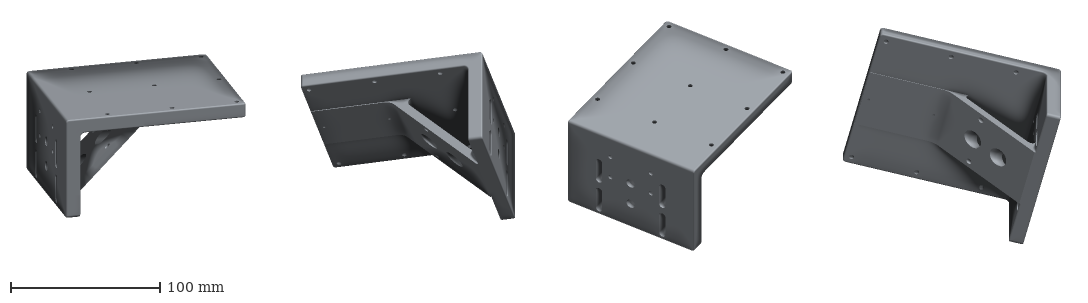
import cadquery as cq
import math

WIDTH = 100.0
DEPTH = 125.0
HEIGHT = 70.0
THICKNESS = 10.0

CORNER_RADIUS = 2.0
OUTER_BEND_RADIUS = 2.0
INNER_BEND_RADIUS = 3.5
EDGE_RADIUS = 1.0

BRACE_WIDTH = 40.0
BRACE_THICKNESS = 6.0
BRACE_ROOT_RADIUS = 10.0
BRACE_POCKET_RADIUS = 3.0
PAD_THICKNESS = 0.5
PAD_BACK_MARGIN = 0.5

SMALL_HOLE_DIAMETER = 3.2
SHELF_HOLE_PITCH = 45.0
SHELF_HOLE_BACK_MARGIN = 5.0
DRILL_POINT_ANGLE = 118.0

SMALL_HOLE_OFFSET = 16.0
SMALL_HOLE_DROP = 16.5
WALL_HOLE_PITCH = 17.5
LARGE_HOLE_DIAMETER = 6.6
LARGE_HOLE_DROP = 32.5
COUNTERBORE_DIAMETER = 11.0
COUNTERBORE_FLOOR = 3.0
SLOT_OFFSET = 25.0
SLOT_DROP = LARGE_HOLE_DROP
SLOT_PITCH = 25.0
SLOT_LENGTH = 20.0
SLOT_WIDTH = 5.0

SHELF_UNDERSIDE = -THICKNESS


def extruded_profile(points, width):
    """Outline of (Y, Z) points, extruded symmetrically along X."""
    return cq.Workplane("YZ").polyline(points).close().extrude(width / 2, both=True)


def nearest_to(y, z):
    """Selector for the edge whose middle is closest to (Y, Z) on the symmetry plane."""
    return cq.selectors.NearestToPointSelector((0, y, z))


def angle_plate():
    plate = extruded_profile(
        [
            (0, 0),
            (DEPTH, 0),
            (DEPTH, SHELF_UNDERSIDE),
            (THICKNESS, SHELF_UNDERSIDE),
            (THICKNESS, -HEIGHT),
            (0, -HEIGHT),
        ],
        WIDTH,
    )
    plate = plate.faces(">Y").edges("|Z").fillet(CORNER_RADIUS)
    plate = plate.faces("<Z").edges("|Y").fillet(CORNER_RADIUS)
    plate = plate.edges(nearest_to(0, 0)).fillet(OUTER_BEND_RADIUS)
    plate = plate.edges(nearest_to(THICKNESS, SHELF_UNDERSIDE)).fillet(INNER_BEND_RADIUS)

    return plate.edges("%CIRCLE").fillet(EDGE_RADIUS)


def add_brace(plate):
    plate_middle = THICKNESS / 2
    pad_underside = SHELF_UNDERSIDE - PAD_THICKNESS
    pad_back = DEPTH - PAD_BACK_MARGIN
    tip = THICKNESS + PAD_THICKNESS

    outer_sum = tip + HEIGHT
    inner_sum = outer_sum - BRACE_THICKNESS * math.sqrt(2)
    root = (outer_sum + pad_underside, pad_underside)
    pocket_back = (inner_sum + SHELF_UNDERSIDE, SHELF_UNDERSIDE)
    pocket_bottom = (THICKNESS, THICKNESS - inner_sum)

    brace = extruded_profile(
        [
            root,
            (pad_back, pad_underside),
            (pad_back, -plate_middle),
            (pocket_back[0], -plate_middle),
            pocket_back,
            pocket_bottom,
            (plate_middle, pocket_bottom[1]),
            (plate_middle, -HEIGHT),
            (tip, -HEIGHT),
        ],
        BRACE_WIDTH,
    )
    bracket = plate.union(brace)
    bracket = bracket.edges(nearest_to(*root)).fillet(BRACE_ROOT_RADIUS)
    bracket = bracket.edges(nearest_to(*pocket_back)).fillet(BRACE_POCKET_RADIUS)
    return bracket.edges(nearest_to(*pocket_bottom)).fillet(BRACE_POCKET_RADIUS)


def shelf_holes():
    """Drills with full diameter through the shelf and their points running on below it."""
    radius = SMALL_HOLE_DIAMETER / 2
    point_height = radius / math.tan(math.radians(DRILL_POINT_ANGLE / 2))
    back_row = DEPTH - SHELF_HOLE_BACK_MARGIN
    centers = [
        (column * SHELF_HOLE_PITCH, back_row - row * SHELF_HOLE_PITCH)
        for column in (-1, 0, 1)
        for row in range(3)
    ]
    drill = (
        cq.Workplane("XZ")
        .polyline([(0, 0), (radius, 0), (radius, SHELF_UNDERSIDE), (0, SHELF_UNDERSIDE - point_height)])
        .close()
        .revolve(360, (0, 0), (0, 1))
    )
    return cq.Workplane("XY").pushPoints(centers).eachpoint(drill.val(), combine=False)


def wall_bores(centers, diameter, start, end):
    """Round cutters at (X, Z) centers, from depth start to depth end behind the front face."""
    plane = cq.Workplane("XZ").workplane(offset=-start)
    return plane.pushPoints(centers).circle(diameter / 2).extrude(start - end)


def cut_wall(bracket):
    upper_small_holes = [(side * SMALL_HOLE_OFFSET, -SMALL_HOLE_DROP) for side in (-1, 1)]
    lower_small_holes = [(x, z - WALL_HOLE_PITCH) for x, z in upper_small_holes]
    large_holes = [(0, -LARGE_HOLE_DROP - row * WALL_HOLE_PITCH) for row in range(2)]
    slot_centers = [
        (side * SLOT_OFFSET, -SLOT_DROP - row * SLOT_PITCH) for side in (-1, 1) for row in range(2)
    ]
    slots = cq.Workplane("XZ").pushPoints(slot_centers).slot2D(SLOT_LENGTH, SLOT_WIDTH, 90)

    bracket = bracket.cut(slots.extrude(-THICKNESS))
    bracket = bracket.cut(wall_bores(upper_small_holes, SMALL_HOLE_DIAMETER, 0, THICKNESS))

    bracket = bracket.cut(wall_bores(lower_small_holes, SMALL_HOLE_DIAMETER, 0, DEPTH))
    bracket = bracket.cut(wall_bores(large_holes, LARGE_HOLE_DIAMETER, 0, THICKNESS))
    return bracket.cut(wall_bores(large_holes, COUNTERBORE_DIAMETER, COUNTERBORE_FLOOR, DEPTH))


result = cut_wall(add_brace(angle_plate()).cut(shelf_holes()))